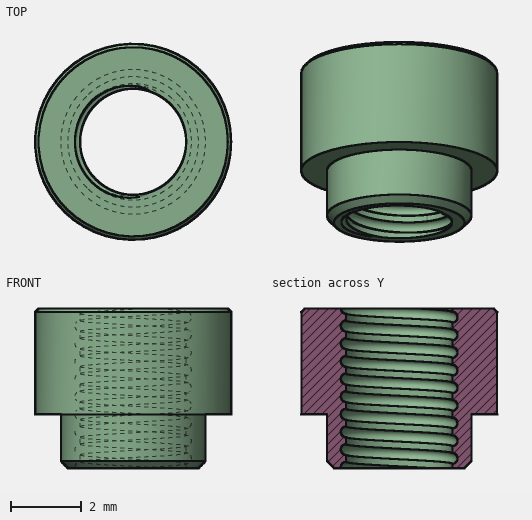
import cadquery as cq

head_diameter = 5.56
head_height = 3.0
head_chamfer = 0.1

shank_diameter = 4.1
shank_height = 1.53
shank_chamfer = 0.2

bore_diameter = 3.0
thread_pitch = 0.5
groove_radius = 0.15
groove_overlap = 0.1

turns_to_top_face = 10.5
turns_above_top_face = 1.5

total_height = shank_height + head_height
bore_radius = bore_diameter / 2


def make_body():
    """Stepped cylinder with its two outer end edges chamfered."""
    shank = cq.Workplane("XY").circle(shank_diameter / 2).extrude(shank_height)
    shank = shank.faces("<Z").edges().chamfer(shank_chamfer)
    head = cq.Workplane("XY").workplane(offset=shank_height)
    head = head.circle(head_diameter / 2).extrude(head_height)
    head = head.faces(">Z").edges().chamfer(head_chamfer)
    return shank.union(head)


def make_thread_groove():
    """Coil with a half-round outer side along the bore wall, running past both ends of the part."""
    coil_height = (turns_to_top_face + turns_above_top_face) * thread_pitch
    coil_start = total_height - turns_to_top_face * thread_pitch
    helix = cq.Wire.makeHelix(thread_pitch, coil_height, bore_radius)
    inner_radius = bore_radius - groove_overlap
    coil = cq.Workplane("XZ").moveTo(inner_radius, -groove_radius).lineTo(bore_radius, -groove_radius)
    coil = coil.threePointArc((bore_radius + groove_radius, 0), (bore_radius, groove_radius))
    coil = coil.lineTo(inner_radius, groove_radius).close()
    coil = coil.sweep(cq.Workplane(helix), isFrenet=True)
    return coil.translate((0, 0, coil_start))


bore = cq.Workplane("XY").circle(bore_radius).extrude(total_height)

result = make_body().cut(bore).cut(make_thread_groove())